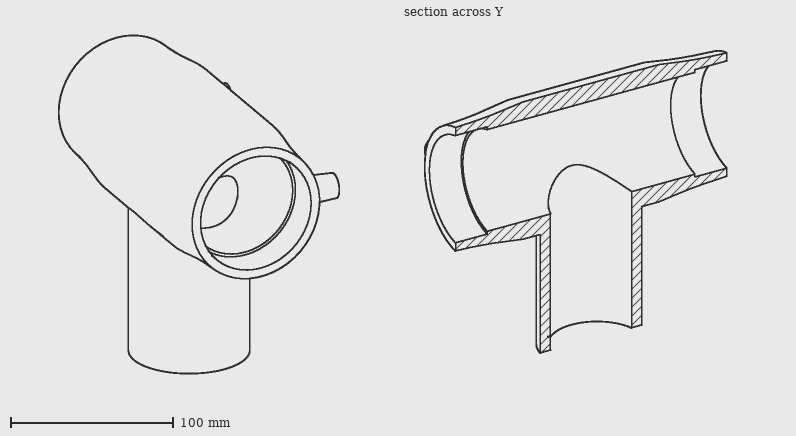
import cadquery as cq

run_length = 196.0
run_diameter = 96.0
mouth_outer_diameter = 86.5
barrel_length = run_length / 2
shoulder_sag = 0.8

socket_diameter = 75.0
socket_depth = 23.0
bore_diameter = 71.25

branch_diameter = 75.0
branch_bore_diameter = 60.0
branch_reach = 129.0

terminal_tip_diameter = 16.0
terminal_reach = 62.0
terminal_inset = 19.5
terminal_taper = 3.0
terminal_length = 22.0


def cylinder_along_x(diameter, x_start, x_end):
    plane = cq.Workplane("YZ", origin=(x_start, 0, 0))
    return plane.circle(diameter / 2).extrude(x_end - x_start)


def cylinder_down(diameter):
    return cq.Workplane("XY").circle(diameter / 2).extrude(-branch_reach)


def make_run_body():
    """Straight barrel with a concave, narrowing shoulder at each end."""
    end_x = run_length / 2
    barrel_x = barrel_length / 2
    barrel_radius = run_diameter / 2
    mouth_radius = mouth_outer_diameter / 2
    shoulder_mid_x = (end_x + barrel_x) / 2
    shoulder_mid_radius = (barrel_radius + mouth_radius) / 2 - shoulder_sag
    profile = (
        cq.Workplane("XY")
        .moveTo(-end_x, 0)
        .lineTo(-end_x, -mouth_radius)
        .threePointArc((-shoulder_mid_x, -shoulder_mid_radius), (-barrel_x, -barrel_radius))
        .lineTo(barrel_x, -barrel_radius)
        .threePointArc((shoulder_mid_x, -shoulder_mid_radius), (end_x, -mouth_radius))
        .lineTo(end_x, 0)
        .close()
    )
    return profile.revolve(360, (0, 0, 0), (1, 0, 0))


def make_terminal(x):
    """Tapered stud from its tip back into the run wall."""
    tip_plane = cq.Plane(origin=(x, terminal_reach, 0), xDir=(1, 0, 0), normal=(0, -1, 0))
    tip = cq.Workplane(tip_plane).circle(terminal_tip_diameter / 2)
    return tip.extrude(terminal_length, taper=-terminal_taper)


def make_run_bore():
    """Through bore with a wider pipe socket at each mouth."""
    end_x = run_length / 2
    bore = cylinder_along_x(bore_diameter, -end_x, end_x)
    left_socket = cylinder_along_x(socket_diameter, -end_x, -end_x + socket_depth)
    right_socket = cylinder_along_x(socket_diameter, end_x - socket_depth, end_x)
    return bore.union(left_socket).union(right_socket)


solid = make_run_body().union(cylinder_down(branch_diameter))
for side in (-1, 1):
    solid = solid.union(make_terminal(side * (run_length / 2 - terminal_inset)))

result = solid.cut(make_run_bore()).cut(cylinder_down(branch_bore_diameter))